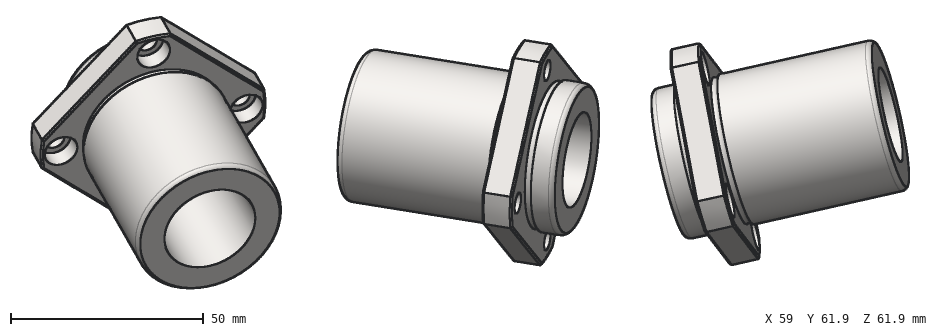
import cadquery as cq

length = 59.0
sleeve_diameter = 40.0
bore_diameter = 25.0
end_round_length = 1.5
end_round_drop = 0.8

flange_start = 8.05
flange_thickness = 8.05
flange_diameter = 61.9
flange_across_flats = 50.0
flange_chamfer = 0.5

groove_width = 1.8
groove_bottom_offset = 1.2
groove_depth = 0.6

hole_count = 4
hole_circle_diameter = 51.0
hole_diameter = 5.5
counterbore_diameter = 9.0
counterbore_depth = 5.1

sleeve_radius = sleeve_diameter / 2
flange_end = flange_start + flange_thickness


def tangent_arc_radius(run, drop):
    """Radius of an arc that leaves an X-parallel line tangentially and departs by drop over run."""
    return (run**2 + drop**2) / (2 * drop)


def make_sleeve():
    """Solid cylinder with rounded ends; the arcs are tangent to the outer surface only."""
    end_radius = sleeve_radius - end_round_drop
    end_round_radius = tangent_arc_radius(end_round_length, end_round_drop)
    return (
        cq.Workplane("XY")
        .moveTo(0, 0)
        .lineTo(length, 0)
        .lineTo(length, end_radius)
        .radiusArc((length - end_round_length, sleeve_radius), -end_round_radius)
        .lineTo(end_round_length, sleeve_radius)
        .radiusArc((0, end_radius), -end_round_radius)
        .close()
        .revolve(360, (0, 0, 0), (1, 0, 0))
    )


def make_groove(edge_x, toward_flange):
    """Torus whose round section cuts the relief groove starting at edge_x."""
    section_radius = tangent_arc_radius(groove_bottom_offset, groove_depth)
    center_x = edge_x + toward_flange * groove_bottom_offset
    center_radius = sleeve_radius - groove_depth + section_radius
    return (
        cq.Workplane("XY")
        .center(center_x, center_radius)
        .circle(section_radius)
        .revolve(360, (0, -center_radius, 0), (1, -center_radius, 0))
    )


def make_flange():
    """Square standing on its corner, trimmed by the flange circle, chamfered on both faces."""
    square = (
        cq.Workplane("YZ", origin=(flange_start, 0, 0))
        .transformed(rotate=(0, 0, 45))
        .rect(flange_across_flats, flange_across_flats)
        .extrude(flange_thickness)
    )
    disc = (
        cq.Workplane("YZ", origin=(flange_start, 0, 0))
        .circle(flange_diameter / 2)
        .extrude(flange_thickness)
    )
    return square.intersect(disc).faces("<X or >X").chamfer(flange_chamfer)


def make_screw_holes():
    """Through holes on the corner axes, counterbored from the long side of the sleeve."""
    holes = (
        cq.Workplane("YZ", origin=(flange_start, 0, 0))
        .polarArray(hole_circle_diameter / 2, 0, 360, hole_count)
        .circle(hole_diameter / 2)
        .extrude(flange_thickness)
    )
    counterbores = (
        cq.Workplane("YZ", origin=(flange_end - counterbore_depth, 0, 0))
        .polarArray(hole_circle_diameter / 2, 0, 360, hole_count)
        .circle(counterbore_diameter / 2)
        .extrude(counterbore_depth)
    )
    return holes.union(counterbores)


sleeve = make_sleeve()
sleeve = sleeve.cut(make_groove(flange_start - groove_width, 1))
sleeve = sleeve.cut(make_groove(flange_end + groove_width, -1))
bore = cq.Workplane("YZ").circle(bore_diameter / 2).extrude(length)

result = sleeve.union(make_flange()).cut(make_screw_holes()).cut(bore)